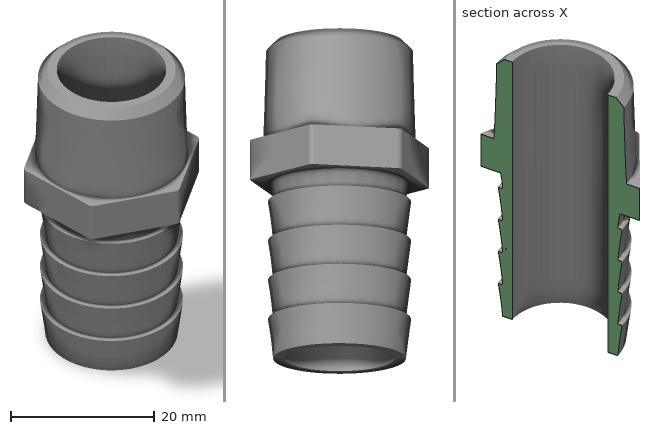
import cadquery as cq
import math

total_height = 45.2
hex_bottom = 25.0
hex_height = 5.7
hex_top = hex_bottom + hex_height

across_flats = 22.25
corner_radius = 0.85

barb_count = 4
barb_pitch = 5.6
barb_small_radius = 9.25
barb_large_radius = 10.0

taper_base_radius = 10.65
taper_top_radius = 10.25
end_chamfer = 1.3

bore_diameter = 15.3


def barbed_stem():
    """Stacked full barbs, then one more cut short by the collar."""
    profile = [(0, 0)]
    for index in range(barb_count):
        bottom = index * barb_pitch
        profile.append((barb_small_radius, bottom))
        profile.append((barb_large_radius, bottom + barb_pitch))
    barbs_top = barb_count * barb_pitch
    barb_slope = (barb_large_radius - barb_small_radius) / barb_pitch
    neck_radius = barb_small_radius + barb_slope * (hex_bottom - barbs_top)
    profile += [(barb_small_radius, barbs_top), (neck_radius, hex_bottom), (0, hex_bottom)]
    return cq.Workplane("XZ").polyline(profile).close().revolve(360, (0, 0), (0, 1))


def hex_collar():
    """Hexagon with flats facing X and rounded corners on Y."""
    across_corners = across_flats / math.cos(math.pi / 6)
    return (
        cq.Workplane("XY", origin=(0, 0, hex_bottom))
        .transformed(rotate=(0, 0, 90))
        .polygon(6, across_corners)
        .extrude(hex_height)
        .edges("|Z")
        .fillet(corner_radius)
    )


def tapered_end():
    """Pipe end narrowing upward, with a chamfered rim."""
    profile = [
        (0, hex_top),
        (taper_base_radius, hex_top),
        (taper_top_radius, total_height - end_chamfer),
        (taper_top_radius - end_chamfer, total_height),
        (0, total_height),
    ]
    return cq.Workplane("XZ").polyline(profile).close().revolve(360, (0, 0), (0, 1))


bore = cq.Workplane("XY").circle(bore_diameter / 2).extrude(total_height)
result = barbed_stem().union(hex_collar()).union(tapered_end()).cut(bore)